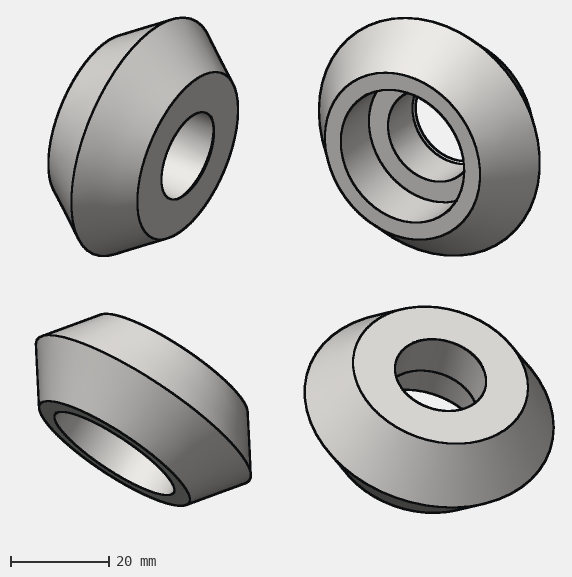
import cadquery as cq

rim_diameter = 52.0
face_diameter = 36.5
width = 22.0
pocket_diameter = 29.0
pocket_depth = 11.5
bore_diameter = 20.0
lip_diameter = 19.05

half_width = width / 2
rim_radius = rim_diameter / 2
face_radius = face_diameter / 2
lip_height = (bore_diameter - lip_diameter) / 2


def make_body():
    """Double cone with flat ends and a sharp rim in the middle."""
    return (
        cq.Workplane("XY")
        .moveTo(-half_width, 0)
        .lineTo(-half_width, face_radius)
        .lineTo(0, rim_radius)
        .lineTo(half_width, face_radius)
        .lineTo(half_width, 0)
        .close()
        .revolve(360, (0, 0, 0), (1, 0, 0))
    )


def make_cavity():
    """Round pocket from -X, then a bore narrowed by a conical lip at the +X face."""
    floor_x = -half_width + pocket_depth
    return (
        cq.Workplane("XY")
        .moveTo(-half_width, 0)
        .lineTo(-half_width, pocket_diameter / 2)
        .lineTo(floor_x, pocket_diameter / 2)
        .lineTo(floor_x, bore_diameter / 2)
        .lineTo(half_width - lip_height, bore_diameter / 2)
        .lineTo(half_width, lip_diameter / 2)
        .lineTo(half_width, 0)
        .close()
        .revolve(360, (0, 0, 0), (1, 0, 0))
    )


result = make_body().cut(make_cavity())